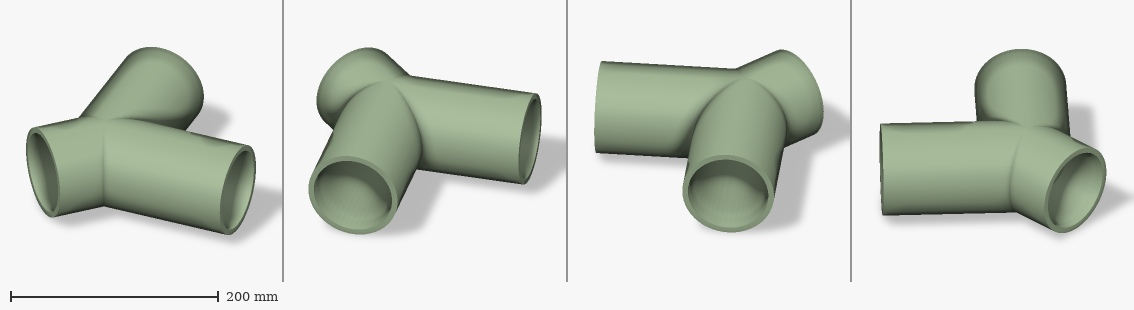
import cadquery as cq
import math

overall_width = 260.5
overall_depth = 193.8
outer_diameter = 88.8
bore_diameter = 77.9
branch_angle = 45.0

sine = math.sin(math.radians(branch_angle))
cosine = math.cos(math.radians(branch_angle))
outer_radius = outer_diameter / 2
branch_length = (overall_width / 2 - outer_radius * cosine) / sine
branch_reach = branch_length * cosine + outer_radius * sine
stem_length = overall_depth - branch_reach

legs = [
    (cq.Vector(0, -1, 0), stem_length),
    (cq.Vector(sine, cosine, 0), branch_length),
    (cq.Vector(-sine, cosine, 0), branch_length),
]


def joined_cylinders(diameter):
    """Union of cylinders running from the junction along every leg."""
    body = cq.Workplane("XY")
    for direction, length in legs:
        cylinder = cq.Solid.makeCylinder(diameter / 2, length, cq.Vector(0, 0, 0), direction)
        body = body.union(cylinder)
    return body


result = joined_cylinders(outer_diameter).cut(joined_cylinders(bore_diameter))